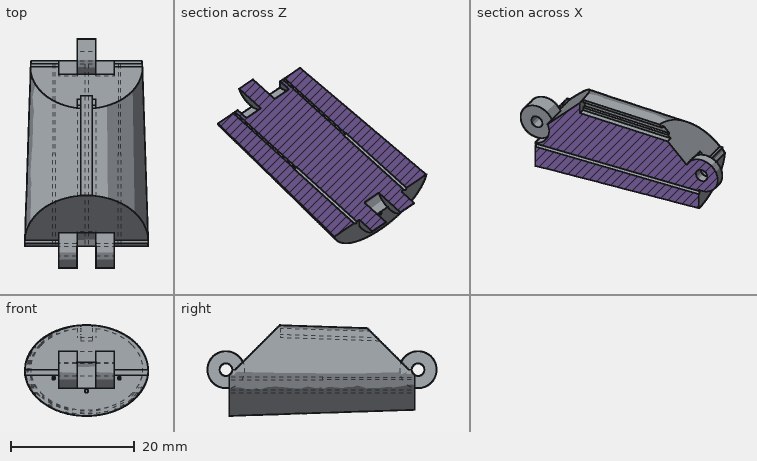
import cadquery as cq

body_length = 30.0
front_half_width = 10.0
front_half_height = 7.5
taper = 1.0
half_length = body_length / 2

pin_radius = 1.0
knuckle_radius = 3.0
knuckle_width = 3.0
pin_overhang = 0.5
pin_y = half_length + pin_overhang

relief_land = 1.0
relief_y = half_length - relief_land

slot_front_y = -6.75
slot_depth = 2.0
slot_width = 1.9
flange_width = 3.0
flange_depth = 1.5
flange_height = 1.0

cord_diameter = 0.5
side_exit_diameter = 0.3
side_cord_x = 5.3
side_cord_z = -1.37
middle_cord_z = -3.45

clear = 2 * body_length


def make_body():
    """Ellipse lofted to a smaller ellipse, from the -Y end to the +Y end."""
    return (
        cq.Workplane("XZ", origin=(0, -half_length, 0))
        .ellipse(front_half_width, front_half_height)
        .workplane(offset=-body_length)
        .ellipse(front_half_width - taper, front_half_height - taper)
        .loft(ruled=True, combine=True)
    )


def make_relief(end):
    """Material above mid height and outside the 45 degree plane at one end."""
    return (
        cq.Workplane("YZ")
        .moveTo(end * relief_y, 0)
        .lineTo(end * (relief_y - clear), clear)
        .lineTo(end * clear, clear)
        .lineTo(end * clear, 0)
        .close()
        .extrude(clear / 2, both=True)
    )


def make_pin_cylinder(end, radius, width, x=0):
    """Cylinder around a hinge pin axis, centred at x."""
    return (
        cq.Workplane("YZ", origin=(x, end * pin_y, 0))
        .circle(radius)
        .extrude(width / 2, both=True)
    )


def add_hinge(part, end, knuckle_xs, gap_xs):
    """Add knuckles, clear the gaps for the mating knuckles and bore the pin."""
    for x in knuckle_xs:
        part = part.union(make_pin_cylinder(end, knuckle_radius, knuckle_width, x))
    for x in gap_xs:
        part = part.cut(make_pin_cylinder(end, knuckle_radius, knuckle_width, x))
    return part.cut(make_pin_cylinder(end, pin_radius, clear))


def top_line_z(y):
    """Height of the sloping top line of the untrimmed body."""
    return front_half_height - taper * (y + half_length) / body_length


def make_slot_bar(width, depth, height):
    """Bar whose floor lies at a constant depth under the top line, from the front wall to the rear."""
    front_floor_z = top_line_z(slot_front_y) - depth
    rear_floor_z = top_line_z(half_length) - depth
    return (
        cq.Workplane("YZ")
        .moveTo(slot_front_y, front_floor_z)
        .lineTo(half_length, rear_floor_z)
        .lineTo(half_length, rear_floor_z + height)
        .lineTo(slot_front_y, front_floor_z + height)
        .close()
        .extrude(width / 2, both=True)
    )


def make_hole(x, z, diameter, start_y, length):
    """Solid of a small hole running from start_y towards +Y."""
    return (
        cq.Workplane("XZ", origin=(x, start_y, z))
        .circle(diameter / 2)
        .extrude(-length)
    )


def cut_cord_holes(part):
    """One plain middle hole and two stepped side holes, all open at both ends."""
    part = part.cut(make_hole(0, middle_cord_z, cord_diameter, -half_length, body_length))
    for x in (-side_cord_x, side_cord_x):
        part = part.cut(make_hole(x, side_cord_z, cord_diameter, -half_length, half_length))
        part = part.cut(make_hole(x, side_cord_z, side_exit_diameter, 0, half_length))
    return part


front, rear = -1, 1
middle_x = [0]
outer_xs = [-knuckle_width, knuckle_width]

result = make_body()
result = result.cut(make_relief(front)).cut(make_relief(rear))
result = result.cut(make_slot_bar(slot_width, slot_depth, clear))
result = result.cut(make_slot_bar(flange_width, flange_depth, flange_height))
result = cut_cord_holes(result)
result = add_hinge(result, front, outer_xs, middle_x)
result = add_hinge(result, rear, middle_x, outer_xs)